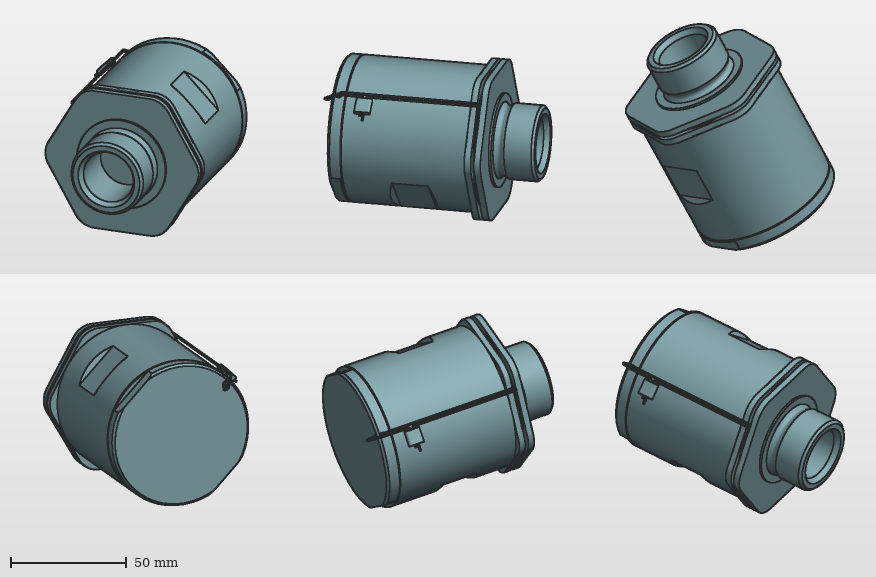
import cadquery as cq
import math


barrel_radius = 64.0 / 2
hex_across_flats = 2 * barrel_radius
hex_corner_radius = 10.15
flange_thickness = 2.9

thread_radius = 33.2 / 2
thread_end_chamfer = 1.2
thread_length = 13.3
relief_start_radius = 15.6
relief_start = 15.0
relief_floor_radius = 15.3
relief_floor = 16.1
relief_end_radius = 15.7
relief_end = 17.0
disc_face = 18.1
disc_radius = 41.0 / 2
base_flange_front = 19.1
base_flange_back = base_flange_front + flange_thickness
spool_radius = 61.0 / 2
bore_radius = 23.0 / 2
bore_mouth_radius = 13.0
bore_mouth_depth = 2.6

housing_front = 23.4
housing_back = 82.1
cap_back = 88.2
seam_chamfer = 0.23
cap_chamfer_radial = 1.0
cap_chamfer_axial = 1.1

flat_distance = 30.0
flat_angles = (-45, 135)
housing_flat_centre = 51.95
housing_flat_half_length = 8.0
cap_flat_start = 82.95
cutter_width = 36.9
cutter_reach = 4.6
hole_cutter_length = 18.5

wire_radius = 0.7 / 2
wire_distance = 34.0
strand_offset = 0.6
bend_radius = 1.0
wire_hole_radius = 2.0 / 2
wire_hole_exit = 85.4
cap_bend = 86.0
loop_top = (28.3, 92.2, -0.4)
loop_tip_distance = 26.3
ring_start_angle = 112
ring_sweep = 158

seal_centre = 73.2
seal_width = 7.0
seal_thickness = 2.5
seal_edge_radius = 2.0 / 2
seal_near = 1.75
seal_length = 6.7
tail_spacing = 1.5
short_tail_end = 9.8
long_tail_end = 11.8


def turned(points):
    """Solid of revolution about Y from (radius, y) points."""
    return cq.Workplane("XY").polyline(points).close().revolve(360, (0, 0), (0, 1))


def hex_flange(front):
    """Hexagonal plate with rounded corners, two of them on the X axis."""
    plate = cq.Workplane("XZ", origin=(0, front, 0)).polygon(6, hex_across_flats / math.cos(math.pi / 6))
    return plate.extrude(-flange_thickness).edges("|Y").fillet(hex_corner_radius)


def around_axis(cutter):
    """A cutter made on the +X side, turned to both wrench flats."""
    copies = [cutter.rotate((0, 0, 0), (0, 1, 0), angle) for angle in flat_angles]
    return copies[0].union(copies[1])


def make_base():
    nipple = (
        cq.Workplane("XY")
        .moveTo(0, 0)
        .lineTo(thread_radius - thread_end_chamfer, 0)
        .lineTo(thread_radius, thread_end_chamfer)
        .lineTo(thread_radius, thread_length)
        .lineTo(relief_start_radius, relief_start)
        .threePointArc((relief_floor_radius, relief_floor), (relief_end_radius, relief_end))
        .lineTo(relief_end_radius + disc_face - relief_end, disc_face)
        .lineTo(disc_radius, disc_face)
        .lineTo(disc_radius, base_flange_back)
        .lineTo(spool_radius, base_flange_back)
        .lineTo(spool_radius, housing_front)
        .lineTo(0, housing_front)
        .close()
        .revolve(360, (0, 0), (0, 1))
    )
    bore = turned([
        (0, 0),
        (bore_mouth_radius, 0),
        (bore_radius, bore_mouth_depth),
        (bore_radius, housing_front),
        (0, housing_front),
    ])
    return nipple.union(hex_flange(base_flange_front)).cut(bore)


def make_housing():
    barrel = turned([
        (0, housing_front),
        (barrel_radius, housing_front),
        (barrel_radius, housing_back - seam_chamfer),
        (barrel_radius - seam_chamfer, housing_back),
        (0, housing_back),
    ])
    pocket = (
        cq.Workplane("XY")
        .moveTo(flat_distance, housing_flat_centre - housing_flat_half_length)
        .lineTo(flat_distance, housing_flat_centre + housing_flat_half_length)
        .lineTo(flat_distance + cutter_reach, housing_flat_centre + housing_flat_half_length + cutter_reach)
        .lineTo(flat_distance + cutter_reach, housing_flat_centre - housing_flat_half_length - cutter_reach)
        .close()
        .extrude(cutter_width / 2, both=True)
    )
    return barrel.union(hex_flange(housing_front)).cut(around_axis(pocket))


def place(distance, y, offset):
    """Point at a distance from the axis on the wire side, and an offset along the tangent."""
    x = (offset - distance) / math.sqrt(2)
    z = (offset + distance) / math.sqrt(2)
    return cq.Vector(x, y, z)


def make_cap():
    body = turned([
        (0, housing_back),
        (barrel_radius - seam_chamfer, housing_back),
        (barrel_radius, housing_back + seam_chamfer),
        (barrel_radius, cap_back - cap_chamfer_axial),
        (barrel_radius - cap_chamfer_radial, cap_back),
        (0, cap_back),
    ])
    flat = (
        cq.Workplane("XY", origin=(flat_distance, cap_flat_start, 0))
        .box(cutter_reach, cap_back - cap_flat_start, cutter_width, centered=(False, False, True))
    )
    hole_start = place(barrel_radius + cutter_reach, wire_hole_exit - cutter_reach, 0)
    hole_direction = place(-1, 1, 0)
    hole = cq.Solid.makeCylinder(wire_hole_radius, hole_cutter_length, hole_start, hole_direction)
    return body.cut(around_axis(flat)).cut(cq.Workplane(hole))


def wire_run(points):
    """Round wire along straight stretches joined by tangent bends."""
    edges = []
    start = points[0]
    for before, corner, after in zip(points, points[1:], points[2:]):
        back = (before - corner).normalized()
        ahead = (after - corner).normalized()
        half_angle = back.getAngle(ahead) / 2
        tangent_length = bend_radius / math.tan(half_angle)
        to_centre = (back + ahead).normalized()
        bend_start = corner + back * tangent_length
        bend_middle = corner + to_centre * (bend_radius / math.sin(half_angle) - bend_radius)
        bend_end = corner + ahead * tangent_length
        edges.append(cq.Edge.makeLine(start, bend_start))
        edges.append(cq.Edge.makeThreePointArc(bend_start, bend_middle, bend_end))
        start = bend_end
    edges.append(cq.Edge.makeLine(start, points[-1]))
    path = cq.Workplane(cq.Wire.assembleEdges(edges))
    section = cq.Workplane(cq.Plane(origin=points[0], normal=points[1] - points[0]))
    return section.circle(wire_radius).sweep(path)


def make_wire():
    ring_y = base_flange_back + wire_radius
    ring_radius = spool_radius + wire_radius
    short_tail_y = seal_centre + tail_spacing / 2
    long_tail_y = seal_centre - tail_spacing / 2
    hole_sum = barrel_radius + wire_hole_exit
    looped_strand = wire_run([
        place(wire_distance, short_tail_y, -short_tail_end),
        place(wire_distance, short_tail_y, -strand_offset),
        place(wire_distance, cap_bend, -strand_offset),
        place(*loop_top),
        place(loop_tip_distance, hole_sum - loop_tip_distance, 0),
        place(wire_distance, hole_sum - wire_distance, strand_offset),
        place(wire_distance, ring_y, strand_offset),
        place(ring_radius, ring_y, strand_offset),
    ])
    lower_strand = wire_run([
        place(wire_distance, long_tail_y, -long_tail_end),
        place(wire_distance, long_tail_y, -strand_offset),
        place(wire_distance, ring_y, -strand_offset),
        place(ring_radius, ring_y, -strand_offset),
    ])
    ring = (
        cq.Workplane("XY")
        .center(ring_radius, ring_y)
        .circle(wire_radius)
        .revolve(ring_sweep, (-ring_radius, 0), (-ring_radius, -1))
        .rotate((0, 0, 0), (0, 1, 0), -ring_start_angle)
    )
    return ring.union(looped_strand).union(lower_strand)


def make_seal():
    face = cq.Plane(
        origin=place(wire_distance, seal_centre, -seal_near),
        xDir=(0, 1, 0),
        normal=place(0, 0, -1),
    )
    block = cq.Workplane(face).rect(seal_width, seal_thickness).extrude(seal_length)
    block = block.edges(cq.selectors.ParallelDirSelector(face.zDir)).fillet(seal_edge_radius)
    tail_holes = (
        cq.Workplane(face)
        .pushPoints([(-tail_spacing / 2, 0), (tail_spacing / 2, 0)])
        .circle(wire_radius)
        .extrude(seal_length)
    )
    return block.cut(tail_holes)


base = make_base()
housing = make_housing()
cap = make_cap()
wire = make_wire()
seal = make_seal()

bodies = [base, housing, cap, wire, seal]
result = cq.Compound.makeCompound([body.solids().val() for body in bodies])